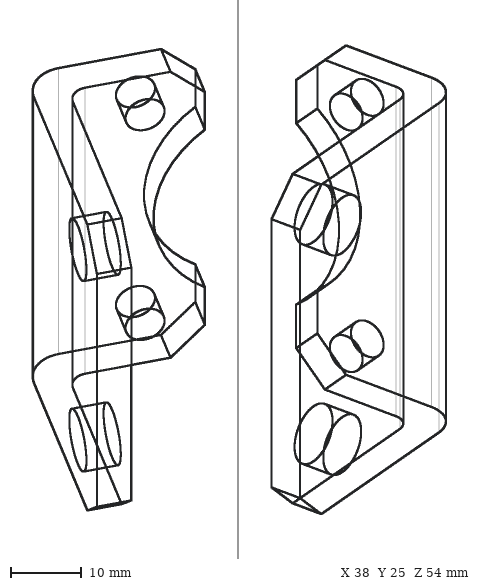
import cadquery as cq

height = 54.0
base_length = 38.0
side_length = 25.0
thickness = 5.0
outer_bend_radius = 5.0
inner_bend_radius = 2.5
corner_chamfer = 5.0

base_hole_diameter = 9.0
base_hole_x = 28.0
base_hole_spacing = 35.95

side_hole_diameter = 5.7
side_hole_y = 16.25
side_hole_spacing = 39.6

relief_radius = 18.45
relief_depth = 7.5
relief_center_y = side_length - relief_depth + relief_radius


def bent_plate():
    """L-shaped plate with its outer corner at the origin, centred in Z."""
    plate = (
        cq.Workplane("XY")
        .polyline([
            (0, 0),
            (base_length, 0),
            (base_length, thickness),
            (thickness, thickness),
            (thickness, side_length),
            (0, side_length),
        ])
        .close()
        .extrude(height / 2, both=True)
    )
    outer_corner = cq.selectors.NearestToPointSelector((0, 0, 0))
    plate = plate.edges("|Z").edges(outer_corner).fillet(outer_bend_radius)
    inner_corner = cq.selectors.NearestToPointSelector((thickness, thickness, 0))
    return plate.edges(inner_corner).fillet(inner_bend_radius)


def chamfer_free_corners(plate):
    """Cut the four corners at the free ends of both flanges."""
    plate = plate.faces(">X").edges("|Y").chamfer(corner_chamfer)
    return plate.faces(">Y").edges("|X").chamfer(corner_chamfer)


def cylinder_along_x(y, z, radius):
    """Cutter passing through the side flange."""
    return cq.Workplane("YZ").center(y, z).circle(radius).extrude(thickness)


def cylinder_along_y(x, z, radius):
    """Cutter passing through the base flange."""
    return cq.Workplane("XZ").center(x, z).circle(radius).extrude(-thickness)


result = chamfer_free_corners(bent_plate())

for end in (-1, 1):
    base_hole_z = end * base_hole_spacing / 2
    side_hole_z = end * side_hole_spacing / 2
    result = result.cut(cylinder_along_y(base_hole_x, base_hole_z, base_hole_diameter / 2))
    result = result.cut(cylinder_along_x(side_hole_y, side_hole_z, side_hole_diameter / 2))

result = result.cut(cylinder_along_x(relief_center_y, 0, relief_radius))